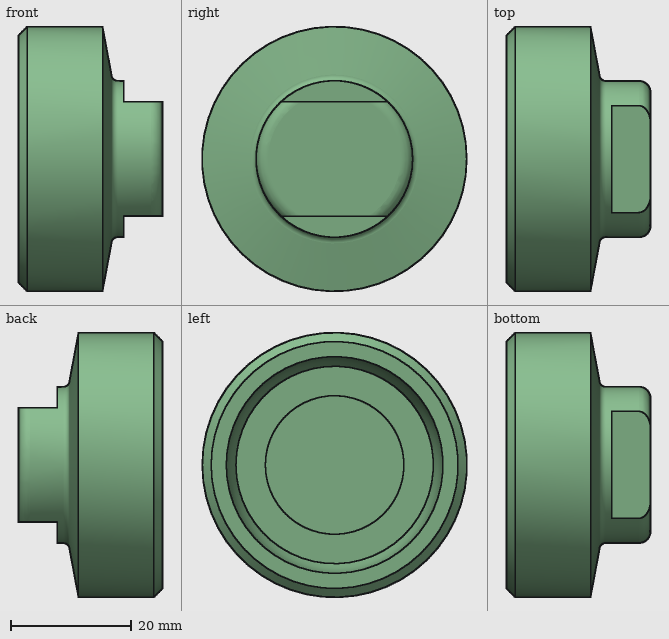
import cadquery as cq
import math

rim_radius = 22.0
rim_length = 14.0
rim_chamfer = 1.5
back_cone_length = 1.5
total_length = 24.0

spigot_radius = 26.0 / 2
spigot_root_fillet = 1.0
spigot_end_round = 2.0
flat_start = 17.5
width_across_flats = 19.0

mouth_radius = 18.0
bore_radius = 32.8 / 2
mouth_depth = 5.9
bore_depth = 8.8
pad_radius = 23.0 / 2


def make_body():
    """Chamfered wheel with a shallow back cone and a rounded spigot."""
    cone_end = rim_length + back_cone_length
    root_outer_radius = spigot_radius + spigot_root_fillet
    arc_inset = spigot_root_fillet * (1 - math.sqrt(0.5))
    body = (
        cq.Workplane("XY")
        .moveTo(0, 0)
        .lineTo(0, rim_radius - rim_chamfer)
        .lineTo(rim_chamfer, rim_radius)
        .lineTo(rim_length, rim_radius)
        .lineTo(cone_end, root_outer_radius)
        .threePointArc(
            (cone_end + arc_inset, spigot_radius + arc_inset),
            (cone_end + spigot_root_fillet, spigot_radius),
        )
        .lineTo(total_length, spigot_radius)
        .lineTo(total_length, 0)
        .close()
        .revolve(360, (0, 0, 0), (1, 0, 0))
    )
    return body.faces(">X").edges().fillet(spigot_end_round)


def make_cavity():
    """Bore with a spherical mouth whose sphere is centred on the X axis."""
    sphere_center = (mouth_depth**2 + bore_radius**2 - mouth_radius**2) / (2 * mouth_depth)
    sphere_radius = math.hypot(sphere_center, mouth_radius)
    middle_x = mouth_depth / 2
    middle_radius = math.sqrt(sphere_radius**2 - (middle_x - sphere_center) ** 2)
    return (
        cq.Workplane("XY")
        .moveTo(0, 0)
        .lineTo(0, mouth_radius)
        .threePointArc((middle_x, middle_radius), (mouth_depth, bore_radius))
        .lineTo(bore_depth, bore_radius)
        .lineTo(bore_depth, 0)
        .close()
        .revolve(360, (0, 0, 0), (1, 0, 0))
    )


def make_pad():
    """Round pad on the bore floor, level with the end of the spherical mouth."""
    return (
        cq.Workplane("YZ", origin=(mouth_depth, 0, 0))
        .circle(pad_radius)
        .extrude(bore_depth - mouth_depth)
    )


def cut_flats(body):
    """Two parallel flats on the spigot, above and below the axis."""
    flat_length = total_length - flat_start
    cut_height = rim_radius - width_across_flats / 2
    for side in (-1, 1):
        cutter = cq.Workplane("XY").box(flat_length, 2 * rim_radius, cut_height)
        center_z = side * (rim_radius + width_across_flats / 2) / 2
        body = body.cut(cutter.translate((flat_start + flat_length / 2, 0, center_z)))
    return body


result = cut_flats(make_body()).cut(make_cavity()).union(make_pad())